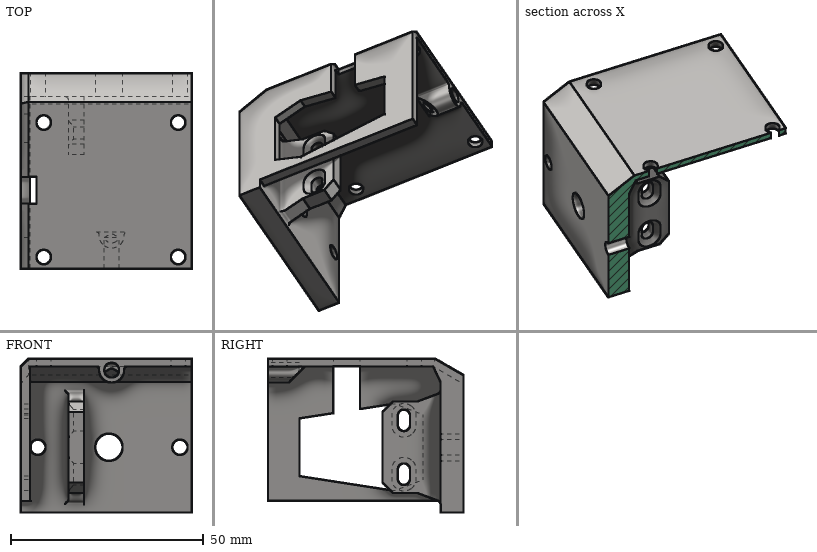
import cadquery as cq
import math

WIDTH = 44.5
DEPTH = 50.85
HEIGHT = 40.0

BACK_THICKNESS = 6.0
WALL_THICKNESS = 2.45
TOP_THICKNESS = 2.05
WALL_BOTTOM = 3.05
SLOPE_ANGLE = math.radians(30)
SLOPE_DEPTH = 7.4
INNER_SLOPE_BOTTOM = 33.9
INNER_SLOPE_RUN = 1.95
EDGE_CHAMFER = 2.05
CORNER_FILLET = 0.25

CENTER_HEIGHT = 17.0
BACK_HOLE_CENTER_X = 22.95
BACK_HOLE_SPACING = 36.9
BACK_HOLE_DIAMETER = 3.9
SHAFT_HOLE_DIAMETER = 7.0

TOP_HOLE_DIAMETER = 3.7
TOP_HOLE_SPACING = 34.95
TOP_HOLE_X = 6.0
TOP_HOLE_Y = 3.1

WINDOW_FRONT_Y = 8.25
WINDOW_PEAK_Y = 32.9
WINDOW_BACK_Y = 40.3
WINDOW_FRONT_HALF = 7.5
WINDOW_PEAK_HALF = 11.3
WINDOW_BACK_HALF = 8.45
SLOT_FRONT_Y = 17.0
SLOT_WIDTH = 6.9
SLOT_END_X = 4.1

TAB_X = 12.45
TAB_THICKNESS = 4.0
TAB_FRONT_Y = 29.75
TAB_HALF_HEIGHT = 11.85
TAB_CHAMFER = 2.7
TAB_FLARE_HALF = 14.15
TAB_FLARE_LENGTH = 6.1
TAB_FILLET = 1.1

SCREW_SLOT_Y = 35.35
SCREW_SLOT_SPACING = 14.0
SCREW_SLOT_WIDTH = 3.1
SCREW_SLOT_STRAIGHT = 2.45
COUNTERSINK_WIDTH = 6.3
COUNTERSINK_DEPTH = 1.3

BOSS_X = 23.65
BOSS_Z = 37.0
BOSS_RADIUS = 3.25
BOSS_FILLET = 0.8
BOSS_AXIS_LENGTH = 8.7
BORE_DIAMETER = 3.85
BORE_DEPTH = 8.15
BORE_TIP_LENGTH = 1.15

BACK_FACE_Y = DEPTH - BACK_THICKNESS
TOP_UNDERSIDE = HEIGHT - TOP_THICKNESS


def make_shell():
    """Chamfered outer block with its inside hollowed toward -Y, +X and -Z."""
    slope = math.tan(SLOPE_ANGLE)
    outer = (
        cq.Workplane("YZ")
        .moveTo(0, 0)
        .lineTo(DEPTH, 0)
        .lineTo(DEPTH, HEIGHT - SLOPE_DEPTH * slope)
        .lineTo(DEPTH - SLOPE_DEPTH, HEIGHT)
        .lineTo(0, HEIGHT)
        .close()
        .extrude(WIDTH)
        .faces("<X")
        .edges("|Y and >Z or (not (|Y or |Z))")
        .chamfer(EDGE_CHAMFER)
    )
    inner_slope_front = BACK_FACE_Y - INNER_SLOPE_RUN
    inside = (
        cq.Workplane("YZ", origin=(WALL_THICKNESS, 0, 0))
        .moveTo(0, 0)
        .lineTo(BACK_FACE_Y, 0)
        .lineTo(BACK_FACE_Y, INNER_SLOPE_BOTTOM)
        .lineTo(inner_slope_front, TOP_UNDERSIDE)
        .lineTo(0, TOP_UNDERSIDE)
        .close()
        .extrude(WIDTH - WALL_THICKNESS)
        .edges("|Z and <X and >Y")
        .fillet(CORNER_FILLET)
    )
    below_wall = cq.Workplane("XY").box(WIDTH, BACK_FACE_Y, WALL_BOTTOM, centered=False)
    return outer.cut(inside).cut(below_wall)


def make_tab():
    """Tab with chamfered front corners, a flared root and its base embedded in the back plate."""
    front_half = TAB_HALF_HEIGHT - TAB_CHAMFER
    chamfer_y = TAB_FRONT_Y + TAB_CHAMFER
    flare_y = BACK_FACE_Y - TAB_FLARE_LENGTH
    embedded_y = DEPTH - BACK_THICKNESS / 2
    upper = [
        (TAB_FRONT_Y, front_half),
        (chamfer_y, TAB_HALF_HEIGHT),
        (flare_y, TAB_HALF_HEIGHT),
        (BACK_FACE_Y, TAB_FLARE_HALF),
        (embedded_y, TAB_FLARE_HALF),
    ]
    lower = [(y, -z) for y, z in reversed(upper)]
    return (
        cq.Workplane("YZ", origin=(TAB_X, 0, CENTER_HEIGHT))
        .polyline(upper + lower)
        .close()
        .extrude(TAB_THICKNESS)
    )


def fillet_tab_root(body):
    """Fillet where the tab's left, top and bottom faces meet the back plate."""
    margin = 0.05
    half = TAB_FLARE_HALF + margin
    root = cq.selectors.BoxSelector(
        (TAB_X - margin, BACK_FACE_Y - margin, CENTER_HEIGHT - half),
        (TAB_X + TAB_THICKNESS - margin, BACK_FACE_Y + margin, CENTER_HEIGHT + half),
    )
    return body.edges(root).fillet(TAB_FILLET)


def slot_outline(plane, width):
    """Vertical slot of the given width; its straight sides keep the same length."""
    return plane.slot2D(SCREW_SLOT_STRAIGHT + width, width, 90)


def make_screw_slots():
    """Two vertical slots along X, each with a tapered countersink on the tab's left face."""
    cutters = cq.Workplane("XY")
    taper = math.degrees(math.atan2((COUNTERSINK_WIDTH - SCREW_SLOT_WIDTH) / 2, COUNTERSINK_DEPTH))
    for side in (-1, 1):
        z = CENTER_HEIGHT + side * SCREW_SLOT_SPACING / 2
        plane = cq.Workplane("YZ", origin=(TAB_X, SCREW_SLOT_Y, z))
        through = slot_outline(plane, SCREW_SLOT_WIDTH).extrude(TAB_THICKNESS)
        countersink = slot_outline(plane, COUNTERSINK_WIDTH).extrude(COUNTERSINK_DEPTH, taper=taper)
        cutters = cutters.add(through).add(countersink)
    return cutters.combine()


def make_window():
    """Six-sided window, symmetric about the hole height, with a slot open to the top."""
    upper = [
        (WINDOW_FRONT_Y, WINDOW_FRONT_HALF),
        (WINDOW_PEAK_Y, WINDOW_PEAK_HALF),
        (WINDOW_BACK_Y, WINDOW_BACK_HALF),
    ]
    lower = [(y, -z) for y, z in reversed(upper)]
    window = (
        cq.Workplane("YZ", origin=(0, 0, CENTER_HEIGHT))
        .polyline(upper + lower)
        .close()
        .extrude(WALL_THICKNESS)
    )
    slot = cq.Workplane("XY").box(SLOT_END_X, SLOT_WIDTH, HEIGHT - CENTER_HEIGHT, centered=False)
    return window.union(slot.translate((0, SLOT_FRONT_Y, CENTER_HEIGHT)))


def make_boss():
    """Half-round boss blended into the top plate, its back end cut off at 45 degrees."""
    blend_x = BOSS_RADIUS + BOSS_FILLET
    blend_top = TOP_UNDERSIDE - BOSS_Z
    blend_bottom = blend_top - BOSS_FILLET
    blend_mid = BOSS_FILLET * math.sqrt(0.5)
    bar = (
        cq.Workplane("XZ", origin=(BOSS_X, 0, BOSS_Z))
        .moveTo(-blend_x, blend_top)
        .threePointArc((-blend_x + blend_mid, blend_bottom + blend_mid), (-BOSS_RADIUS, blend_bottom))
        .lineTo(-BOSS_RADIUS, 0)
        .threePointArc((0, -BOSS_RADIUS), (BOSS_RADIUS, 0))
        .lineTo(BOSS_RADIUS, blend_bottom)
        .threePointArc((blend_x - blend_mid, blend_bottom + blend_mid), (blend_x, blend_top))
        .close()
        .extrude(-BOSS_AXIS_LENGTH - blend_top)
    )
    side_profile = (
        cq.Workplane("YZ", origin=(BOSS_X - blend_x, 0, BOSS_Z))
        .moveTo(0, blend_top)
        .lineTo(BOSS_AXIS_LENGTH + blend_top, blend_top)
        .lineTo(BOSS_AXIS_LENGTH - BOSS_RADIUS, -BOSS_RADIUS)
        .lineTo(0, -BOSS_RADIUS)
        .close()
        .extrude(2 * blend_x)
    )
    return bar.intersect(side_profile)


def make_bore():
    """Level bore from the front with a conical tip that breaks out of the boss's sloped end."""
    return (
        cq.Workplane("XY", origin=(BOSS_X, 0, BOSS_Z))
        .lineTo(BORE_DIAMETER / 2, 0)
        .lineTo(BORE_DIAMETER / 2, BORE_DEPTH)
        .lineTo(0, BORE_DEPTH + BORE_TIP_LENGTH)
        .close()
        .revolve(360, (0, 0, 0), (0, 1, 0))
    )


def make_back_holes():
    """Large central hole between two screw holes."""
    plane = cq.Workplane("XZ", origin=(BACK_HOLE_CENTER_X, DEPTH, CENTER_HEIGHT))
    screws = (
        plane.pushPoints([(-BACK_HOLE_SPACING / 2, 0), (BACK_HOLE_SPACING / 2, 0)])
        .circle(BACK_HOLE_DIAMETER / 2)
        .extrude(BACK_THICKNESS)
    )
    return screws.union(plane.circle(SHAFT_HOLE_DIAMETER / 2).extrude(BACK_THICKNESS))


def make_top_holes():
    """Four screw holes on a square pattern."""
    half_spacing = TOP_HOLE_SPACING / 2
    return (
        cq.Workplane("XY", origin=(TOP_HOLE_X + half_spacing, TOP_HOLE_Y + half_spacing, TOP_UNDERSIDE))
        .rect(TOP_HOLE_SPACING, TOP_HOLE_SPACING, forConstruction=True)
        .vertices()
        .circle(TOP_HOLE_DIAMETER / 2)
        .extrude(TOP_THICKNESS)
    )


body = fillet_tab_root(make_shell().union(make_tab()))
body = body.cut(make_screw_slots())
body = body.union(make_boss()).cut(make_bore())
result = body.cut(make_window()).cut(make_back_holes()).cut(make_top_holes())